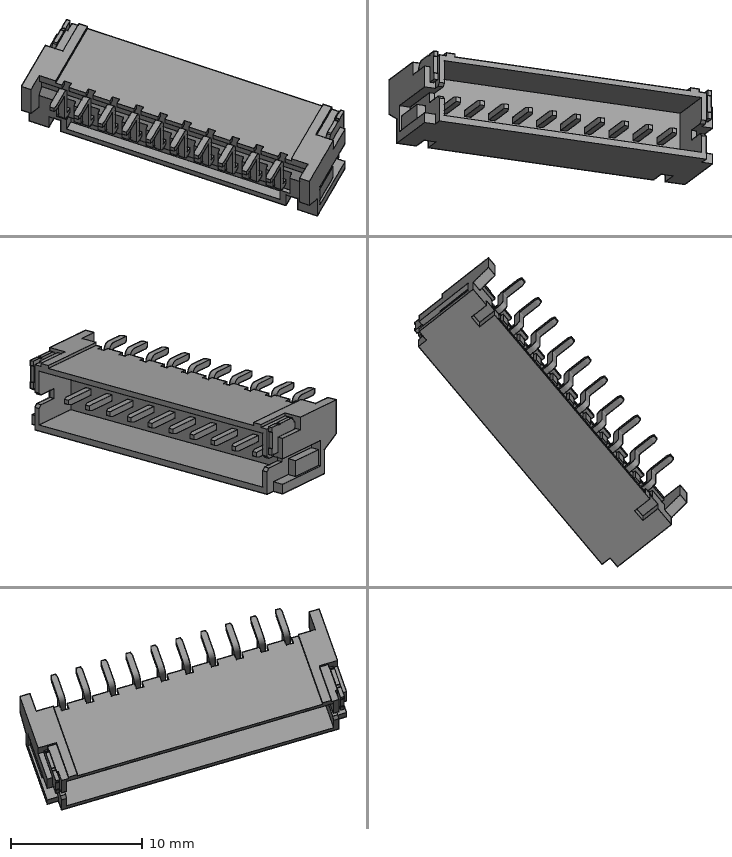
import cadquery as cq


length = 24.0
depth = 8.6
height = 5.6
half_length = length / 2

front_y = -6.1
arm_front_y = -7.6
arm_width = 0.82
arm_foot_z = 1.97
arm_tip_z = 2.83
plate_z = 5.35
end_land_width = 2.18
panel_setback = 0.05

plate_underside_z = 4.92
recess_depth = 0.5
slope_top_z = 3.85
slope_bottom_z = slope_top_z - recess_depth

cavity_depth = 4.0
cavity_floor_z = 0.5
end_inset = 0.9
cavity_wall = 0.4
cavity_half_length = half_length - end_inset - cavity_wall
shoulder_y = -0.8
notch_depth = 1.9
notch_bottom_z = 2.1
notch_top_z = 2.88
notch_chamfer = 0.25

side_floor_z = 0.8
side_front_y = -5.6
pad_back_y = -2.7
pad_inset = 0.2

seat_z = 4.55
seat_front_y = -3.05
seat_step_width = 1.46
tab_inset = 0.43
tab_thickness = 0.3
tab_front_y = -2.9
tab_hook_bottom_z = 3.3
tab_nose_length = 0.3
tab_nose_drop = 0.45
tab_brow_length = 0.12
tab_brow_drop = 0.05
tab_back_relief = 0.07
tab_relief_bottom_z = 3.85
tab_relief_top_z = 5.18
tab_groove_y = -0.9
tab_groove_width = 0.22
tab_groove_depth = 0.07

pocket_width = 1.42
pocket_depth = 0.3
pocket_floor_z = 1.58
trough_half_length = 8.88
trough_depth = 0.8
slot_inner_x = half_length - 2.62
slot_width = 0.98
slot_height = 1.25
slot_depth = 1.5

pin_count = 10
pin_pitch = length / 12
pin_size = 0.5
pin_bottom_z = 2.15
contact_tip_y = -1.22
pin_leg_back_y = -6.3
pin_bend = 0.07
pin_tip_length = 0.3
pin_tip_inset = 0.07
pin_relief_width = 0.58

pin_positions = [(i - (pin_count - 1) / 2) * pin_pitch for i in range(pin_count)]


def block(x0, x1, y0, y1, z0, z1):
    """Box between two opposite corners."""
    return cq.Workplane("XY").box(x1 - x0, y1 - y0, z1 - z0, centered=False).translate((x0, y0, z0))


def prism(points, x0, x1):
    """Closed (Y, Z) outline extruded from x0 to x1."""
    return cq.Workplane("YZ").polyline(points).close().extrude(x1 - x0).translate((x0, 0, 0))


def both_ends(shape):
    """A shape at the +X end together with its mirror image at the -X end."""
    return shape.union(shape.mirror("YZ"))


def make_housing():
    profile = [
        (0, 0),
        (front_y, 0),
        (front_y, arm_foot_z),
        (arm_front_y, arm_tip_z),
        (arm_front_y, height),
        (0, height),
    ]
    body = prism(profile, -half_length, half_length)
    inner_x = half_length - arm_width
    body = body.cut(block(-inner_x, inner_x, arm_front_y, front_y, 0, height))

    land_x = half_length - end_land_width
    body = body.cut(block(-land_x, land_x, arm_front_y, 0, plate_z, height))

    recess_y = front_y + recess_depth
    recess = [
        (front_y, slope_bottom_z),
        (recess_y, slope_top_z),
        (recess_y, plate_underside_z),
        (front_y, plate_underside_z),
    ]
    body = body.cut(prism(recess, -inner_x, inner_x))
    upper_setback = block(-inner_x, inner_x, front_y, front_y + panel_setback, plate_underside_z, height)
    return body.cut(upper_setback)


def cut_mating_side(body):
    cavity = block(
        -cavity_half_length, cavity_half_length,
        -cavity_depth, 0,
        cavity_floor_z, plate_underside_z,
    )
    notch = [
        (0, notch_bottom_z - notch_chamfer),
        (-notch_chamfer, notch_bottom_z),
        (-notch_depth, notch_bottom_z),
        (-notch_depth, notch_top_z),
        (-notch_chamfer, notch_top_z),
        (0, notch_top_z + notch_chamfer),
    ]
    return body.cut(cavity).cut(prism(notch, -half_length, half_length))


def cut_ends(body):
    inner_x = half_length - end_inset
    shoulder = block(inner_x, half_length, shoulder_y, 0, 0, height)
    side = block(inner_x, half_length, side_front_y, shoulder_y, side_floor_z, notch_bottom_z)
    side = side.union(block(inner_x, half_length, side_front_y, -notch_depth, side_floor_z, notch_top_z))
    pad = block(inner_x, half_length - pad_inset, side_front_y, pad_back_y, side_floor_z, notch_bottom_z)
    tab_inner_x = half_length - tab_inset - tab_thickness
    seat = block(tab_inner_x, half_length, seat_front_y, 0, seat_z, height)
    step = block(half_length - seat_step_width, half_length, seat_front_y, 0, plate_z, height)
    return body.cut(both_ends(shoulder.union(side.cut(pad)).union(seat).union(step)))


def make_tab():
    profile = [
        (0, tab_hook_bottom_z),
        (shoulder_y, tab_hook_bottom_z),
        (shoulder_y, seat_z),
        (tab_front_y, seat_z),
        (tab_front_y, height - tab_nose_drop),
        (tab_front_y + tab_nose_length, height - tab_brow_drop),
        (tab_front_y + tab_nose_length + tab_brow_length, height),
        (tab_groove_y - tab_groove_width, height),
        (tab_groove_y - tab_groove_width, height - tab_groove_depth),
        (tab_groove_y, height - tab_groove_depth),
        (tab_groove_y, height),
        (0, height),
        (0, tab_relief_top_z),
        (-tab_back_relief, tab_relief_top_z),
        (-tab_back_relief, tab_relief_bottom_z),
        (0, tab_relief_bottom_z),
    ]
    outer_x = half_length - tab_inset
    return prism(profile, outer_x - tab_thickness, outer_x)


def cut_front(body):
    trough = block(
        -trough_half_length, trough_half_length,
        front_y, front_y + trough_depth,
        cavity_floor_z, pocket_floor_z,
    )
    slot = block(slot_inner_x, slot_inner_x + slot_width, front_y, front_y + slot_depth, 0, slot_height)
    body = body.cut(trough).cut(both_ends(slot))

    rib_x = pin_positions[-1]
    body = body.cut(block(-rib_x, rib_x, front_y, front_y + panel_setback, pocket_floor_z, slope_top_z))

    for x in pin_positions:
        half_pocket = pocket_width / 2
        half_relief = pin_relief_width / 2
        pocket = block(
            x - half_pocket, x + half_pocket,
            front_y, front_y + pocket_depth,
            pocket_floor_z, slope_top_z,
        )
        relief = block(
            x - half_relief, x + half_relief,
            front_y, front_y + recess_depth,
            plate_underside_z, height,
        )
        body = body.cut(pocket).cut(relief)
    return body


def pin_tip(y, z, direction):
    """Tapered square tip that starts at y and points along direction (+1 or -1) in Y."""
    end_size = pin_size - 2 * pin_tip_inset
    plane = cq.Plane(origin=(0, y, z), xDir=(1, 0, 0), normal=(0, direction, 0))
    return (
        cq.Workplane(plane)
        .rect(pin_size, pin_size)
        .workplane(offset=pin_tip_length)
        .rect(end_size, end_size)
        .loft(combine=True)
    )


def make_pin():
    contact_end_y = contact_tip_y - pin_tip_length
    tail_end_y = -depth + pin_tip_length
    leg_front_y = pin_leg_back_y - pin_size
    profile = [
        (contact_end_y, pin_bottom_z),
        (leg_front_y, pin_bottom_z),
        (leg_front_y, height - pin_size),
        (tail_end_y, height - pin_size),
        (tail_end_y, height),
        (pin_leg_back_y, height),
        (pin_leg_back_y, pin_bottom_z + pin_size),
        (contact_end_y, pin_bottom_z + pin_size),
    ]
    outer_bend = pin_bend + pin_size
    pin = prism(profile, -pin_size / 2, pin_size / 2)
    outer_corners = [(leg_front_y, pin_bottom_z), (pin_leg_back_y, height)]
    inner_corners = [(leg_front_y, height - pin_size), (pin_leg_back_y, pin_bottom_z + pin_size)]
    for corners, radius in ((inner_corners, pin_bend), (outer_corners, outer_bend)):
        for y, z in corners:
            pin = pin.edges(cq.NearestToPointSelector((0, y, z))).fillet(radius)
    contact_tip = pin_tip(contact_end_y, pin_bottom_z + pin_size / 2, 1)
    tail_tip = pin_tip(tail_end_y, height - pin_size / 2, -1)
    return pin.union(contact_tip).union(tail_tip)


result = cut_front(cut_ends(cut_mating_side(make_housing())))
result = result.union(both_ends(make_tab()))
pin = make_pin()
for x in pin_positions:
    result = result.union(pin.translate((x, 0, 0)))